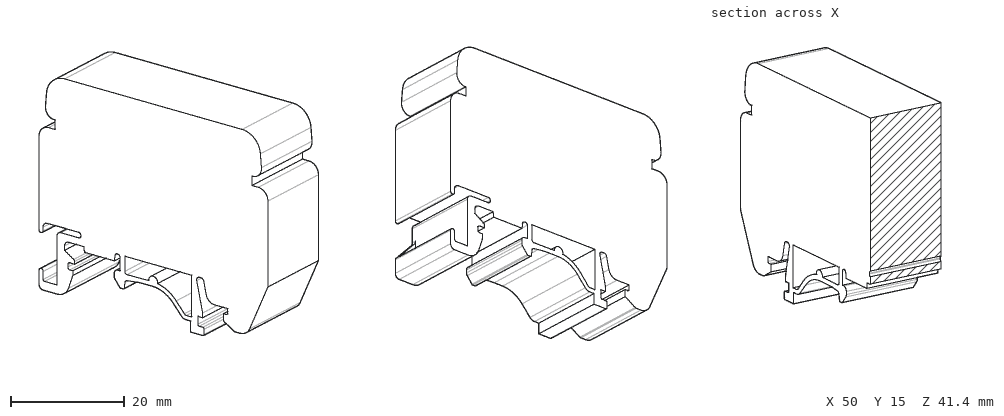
import cadquery as cq
import math


length = 50.0
width = 15.0
height = 41.4

cap_inset = 1.95
cap_base_inset = 1.23
cap_base_z = 33.05
cap_top_radius = 4.0
cap_base_radius = 1.95
neck_inset = 3.5
shoulder_z = 31.25
shoulder_radius = 2.1

ceiling_z = 10.9
rib_z = 9.45
rib_left = 9.95
rib_right = 16.5
rib_draft = 0.15

skirt_thickness = 0.9
skirt_z = 10.85
skirt_tip_radius = 0.4
slot_top_z = 12.95
slot_height = 1.05
slot_end = 9.15
slot_end_radius = 0.45
slot_corner_radius = 0.95

foot_outer = 3.9
foot_inner = 5.6
foot_root_z = 10.5
foot_outer_radius = 0.9
foot_inner_radius = 0.9
lip_thickness = 0.94
lip_z = 4.03
lip_tip_radius = 0.45
trough_z = 1.75
trough_radius = 0.3
foot_corner_radius = 0.9
heel_x = 5.85
heel_radius = 2.6
hook_back = 7.4
hook_bend_z = 4.4
groove_floor = 6.3
groove_bottom_z = 5.3
groove_top_z = 6.65
groove_radius = 0.45
tooth_tip = 7.8
tooth_tip_z = 7.4
tooth_tip_radius = 0.4
tooth_root_z = 8.75

spring_left = 17.7
spring_leg_thickness = 1.05
left_relief_radius = 0.45
knob_left = 16.42
knob_top_z = 7.85
knob_waist_z = 6.2
knob_radius = 0.8
knob_foot_left = 17.75
knob_foot_right = 18.6
knob_foot_z = 4.55
knob_foot_radius = 0.25
strip_thickness = 0.95
strip_start_x = 18.85
strip_start_z = 6.3
strip_start_radius = 0.5
strip_crest_x = 21.5
strip_crest_z = 6.65
strip_crest_radius = 20.0
strip_bend_x = 27.45
strip_bend_radius = 6.0
strip_end_x = 31.5
strip_end_z = 2.1
strip_end_radius = 1.4
strip_inner_radius = 0.6
window_corner_z = 7.5
window_corner_radius = 0.5
strip_end_thickness = 0.85
bump_x = 24.95
bump_z = 7.65
bump_radius = 0.97

right_leg_left = 33.1
window_right = 33.3
toe_right = 36.1
toe_top_z = 1.6
toe_radius = 0.3
leg_notch_x = 34.7
leg_notch_z = 3.4
leg_notch_radius = 0.3
leg_barb_x = 35.75
leg_barb_z = 4.3
right_relief_left = 34.3
right_relief_right = 35.9
right_relief_radius = 0.6

fixed_roof_z = 6.5
fixed_roof_x = 36.85
fixed_roof_radius = 1.9
fixed_groove_x = 41.2
fixed_groove_z = 5.3
fixed_groove_radius = 0.3
fixed_hook_x = 40.3
fixed_hook_z = 3.9
fixed_toe_x = 42.7
fixed_toe_z = 2.45
fixed_toe_radius = 0.4
fixed_heel_x = 45.4
fixed_heel_radius = 2.3
flank_top_z = 12.8

gusset_thickness = 0.9
gusset_top_z = 7.83
gusset_blend_radius = 1.0
gusset_overlap = 0.5


def rounded_outline(corners):
    """Closed XZ wire through (x, z, radius) corners; radius 0 keeps a corner sharp."""
    stretches = []
    for index, (x, z, radius) in enumerate(corners):
        corner = cq.Vector(x, z, 0)
        if radius == 0:
            stretches.append([corner])
            continue
        before = corners[index - 1]
        after = corners[(index + 1) % len(corners)]
        to_before = (cq.Vector(before[0], before[1], 0) - corner).normalized()
        to_after = (cq.Vector(after[0], after[1], 0) - corner).normalized()
        half_angle = to_before.getAngle(to_after) / 2
        setback = radius / math.tan(half_angle)
        middle_distance = radius / math.sin(half_angle) - radius
        bisector = (to_before + to_after).normalized()
        stretches.append([
            corner + to_before * setback,
            corner + bisector * middle_distance,
            corner + to_after * setback,
        ])

    def flat(point):
        return (point.x, point.y)

    outline = cq.Workplane("XZ").moveTo(*flat(stretches[0][-1]))
    for stretch in stretches[1:] + stretches[:1]:
        outline = outline.lineTo(*flat(stretch[0]))
        if len(stretch) > 1:
            outline = outline.threePointArc(flat(stretch[1]), flat(stretch[2]))
    return outline.close()


def extrude_back(outline, depth):
    """Extrude an XZ outline from its plane towards +Y."""
    return outline.extrude(-depth)


def upper_left_corners():
    """Shoulder, neck and cap on the left, upwards."""
    return [
        (0, shoulder_z, shoulder_radius),
        (neck_inset, shoulder_z, 0),
        (neck_inset, cap_base_z, 0),
        (cap_base_inset, cap_base_z, cap_base_radius),
        (cap_inset, height, cap_top_radius),
    ]


def upper_corners():
    left = upper_left_corners()
    right = [(length - x, z, radius) for x, z, radius in reversed(left)]
    return left + right


def fixed_foot_corners():
    """Rigid right foot, from the housing side to the relief slot."""
    return [
        (length, flank_top_z, 0),
        (fixed_heel_x, fixed_toe_z, fixed_heel_radius),
        (fixed_toe_x, fixed_toe_z, fixed_toe_radius),
        (fixed_hook_x, fixed_hook_z, 0),
        (fixed_hook_x, fixed_groove_z, 0),
        (fixed_groove_x, fixed_groove_z, fixed_groove_radius),
        (fixed_groove_x, fixed_roof_z, 0),
        (fixed_roof_x, fixed_roof_z, fixed_roof_radius),
    ]


def spring_clip_corners():
    """Right leg, underside of the strip and left leg, from right to left."""
    return [
        (right_relief_right, ceiling_z, right_relief_radius),
        (right_relief_left, ceiling_z, right_relief_radius),
        (leg_barb_x, leg_barb_z, 0),
        (leg_barb_x, leg_notch_z, 0),
        (leg_notch_x, leg_notch_z, 0),
        (leg_notch_x, toe_top_z, leg_notch_radius),
        (toe_right, toe_top_z, toe_radius),
        (toe_right, 0, toe_radius),
        (right_leg_left, 0, 0),
        (right_leg_left, strip_end_z, 0),
        (strip_end_x, strip_end_z, strip_end_radius),
        (strip_bend_x, strip_crest_z, strip_bend_radius),
        (strip_crest_x, strip_crest_z, strip_crest_radius),
        (strip_start_x, strip_start_z, strip_start_radius),
        (knob_foot_right, knob_foot_z, knob_foot_radius),
        (knob_foot_left, knob_foot_z, knob_foot_radius),
        (knob_left, knob_waist_z, knob_radius),
        (knob_left, knob_top_z, knob_radius),
        (spring_left, knob_top_z, 0),
        (spring_left, ceiling_z, left_relief_radius),
    ]


def rib_corners():
    """Low pad under the housing, from right to left."""
    return [
        (rib_right + rib_draft, ceiling_z, left_relief_radius),
        (rib_right, rib_z, 0),
        (rib_left, rib_z, 0),
        (rib_left - rib_draft, foot_root_z, 0),
    ]


def release_foot_corners():
    """Flexible left foot, its release slot and the skirt."""
    slot_bottom_z = slot_top_z - slot_height
    return [
        (foot_inner, foot_root_z, foot_inner_radius),
        (foot_inner, tooth_root_z, 0),
        (tooth_tip, tooth_tip_z, tooth_tip_radius),
        (tooth_tip, groove_top_z, 0),
        (groove_floor, groove_top_z, groove_radius),
        (groove_floor, groove_bottom_z, groove_radius),
        (hook_back, groove_bottom_z, 0),
        (hook_back, hook_bend_z, 0),
        (heel_x, 0, heel_radius),
        (0, 0, foot_corner_radius),
        (0, lip_z, lip_tip_radius),
        (lip_thickness, lip_z, lip_tip_radius),
        (lip_thickness, trough_z, trough_radius),
        (foot_outer, trough_z, 0),
        (foot_outer, slot_bottom_z, foot_outer_radius),
        (slot_end, slot_bottom_z, slot_end_radius),
        (slot_end, slot_top_z, slot_end_radius),
        (skirt_thickness, slot_top_z, slot_corner_radius),
        (skirt_thickness, skirt_z, skirt_tip_radius),
        (0, skirt_z, skirt_tip_radius),
    ]


def make_body():
    corners = (
        upper_corners()
        + fixed_foot_corners()
        + spring_clip_corners()
        + rib_corners()
        + release_foot_corners()
    )
    return extrude_back(rounded_outline(corners), width)


def make_window():
    """Opening between the housing and the strip, bounded by the two spring legs."""
    left = spring_left + spring_leg_thickness
    descent_angle = math.atan2(strip_crest_z - strip_end_z, strip_end_x - strip_bend_x)
    bend_shift = strip_thickness * math.tan(descent_angle / 2)
    end_z = strip_end_z + strip_end_thickness
    crest_z = strip_crest_z + strip_thickness
    bend_radius = strip_bend_radius + strip_thickness
    outline = rounded_outline([
        (left, ceiling_z, 0),
        (window_right, ceiling_z, 0),
        (window_right, end_z, 0),
        (strip_end_x + bend_shift, end_z, strip_inner_radius),
        (strip_bend_x + bend_shift, crest_z, bend_radius),
        (left, window_corner_z, window_corner_radius),
    ])
    return extrude_back(outline, width)


def make_bump():
    """Round bead along the crest of the strip."""
    bead = cq.Workplane("XZ").center(bump_x, bump_z).circle(bump_radius)
    return extrude_back(bead, width)


def make_gusset():
    """Plate sloping from the middle of the lip rounding up to the leg, blended into the leg."""
    rounding_drop = lip_tip_radius * (1 - math.sqrt(0.5))
    blend_top_z = gusset_top_z + gusset_overlap
    buried_x = foot_outer + gusset_overlap
    bottom_z = trough_z - gusset_overlap
    outline = rounded_outline([
        (rounding_drop, lip_z - rounding_drop, 0),
        (foot_outer, gusset_top_z, gusset_blend_radius),
        (foot_outer, blend_top_z, 0),
        (buried_x, blend_top_z, 0),
        (buried_x, bottom_z, 0),
        (rounding_drop, bottom_z, 0),
    ])
    plate = extrude_back(outline, gusset_thickness)
    return plate.translate((0, width - gusset_thickness, 0))


result = make_body().cut(make_window()).union(make_bump()).union(make_gusset())